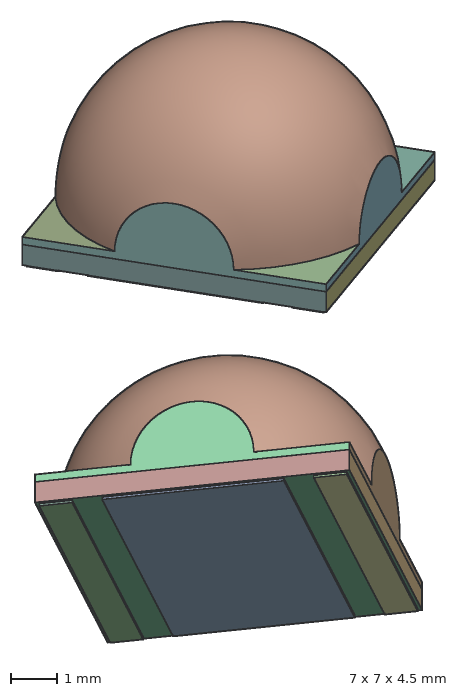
import cadquery as cq

package_side = 7.0
dome_radius = 3.76

pad_thickness = 0.055
substrate_thickness = 0.5
lens_plate_thickness = 0.18

pad_margin = 0.08
side_pad_width = 0.735
center_pad_width = 4.045

pad_length = package_side - 2 * pad_margin
side_pad_offset = package_side / 2 - pad_margin - side_pad_width / 2
substrate_bottom = pad_thickness
substrate_top = substrate_bottom + substrate_thickness
lens_plate_top = substrate_top + lens_plate_thickness


def make_slab(width, length, thickness, bottom, center_x=0):
    """Rectangular slab centred on y = 0, rising from the given bottom height."""
    return (
        cq.Workplane("XY")
        .box(width, length, thickness, centered=(True, True, False))
        .translate((center_x, 0, bottom))
    )


def make_substrate():
    """Square substrate with two side pads and a wide centre pad on its underside."""
    substrate = make_slab(package_side, package_side, substrate_thickness, substrate_bottom)
    substrate = substrate.union(make_slab(center_pad_width, pad_length, pad_thickness, 0))
    for center_x in (-side_pad_offset, side_pad_offset):
        side_pad = make_slab(side_pad_width, pad_length, pad_thickness, 0, center_x)
        substrate = substrate.union(side_pad)
    return substrate


def make_dome():
    """Half ball on the lens plate, trimmed flat on four sides by the package outline."""
    ball = (
        cq.Workplane("XY")
        .sphere(dome_radius, direct=(0, 1, 0))
        .translate((0, 0, lens_plate_top))
    )
    trim_block = make_slab(package_side, package_side, dome_radius, lens_plate_top)
    return ball.intersect(trim_block)


def make_lens():
    """Thin square lens plate carrying the dome."""
    plate = make_slab(package_side, package_side, lens_plate_thickness, substrate_top)
    return plate.union(make_dome())


substrate = make_substrate()
lens = make_lens()

result = cq.Compound.makeCompound([substrate.val(), lens.val()])